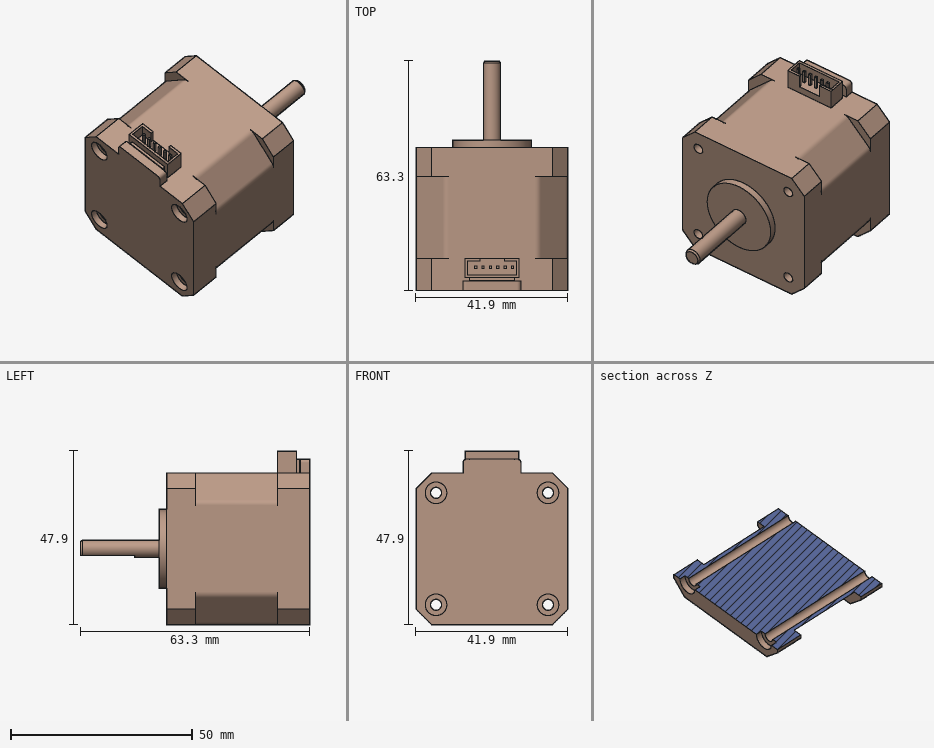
import cadquery as cq


BODY_SIZE = 41.9
BODY_LENGTH = 39.5
BODY_HALF = BODY_SIZE / 2
CORNER_CHAMFER = 4.3

RELIEF_START = 8.9
RELIEF_END = 31.5
RELIEF_CHAMFER = 8.1
RELIEF_RADIUS = 2.1

HOLE_PITCH = 30.9
HOLE_DIAMETER = 3.0
COUNTERBORE_DIAMETER = 5.95
COUNTERBORE_DEPTH = 1.9

OVERALL_LENGTH = 63.3
BOSS_DIAMETER = 21.85
BOSS_HEIGHT = 2.0
SHAFT_DIAMETER = 4.8
SHAFT_TIP_LENGTH = 0.6
SHAFT_TIP_INSET = 0.4
FLAT_LENGTH = 15.0
FLAT_DEPTH = 0.5

TAB_WIDTH = 16.0
TAB_HEIGHT = 3.8
TAB_THICKNESS = 2.65
TAB_RADIUS = 1.0

HEADER_WIDTH = 14.9
HEADER_HEIGHT = 6.0
HEADER_REAR = 3.6
HEADER_FRONT = RELIEF_START
SIDE_WALL = 0.65
LONG_WALL = 0.75
CAVITY_DEPTH = 3.8
NOTCH_WIDTH = 6.8
RIB_WIDTH = 12.55
RIB_HEIGHT = TAB_HEIGHT
RIB_REAR = 2.8

PIN_COUNT = 6
PIN_PITCH = 2.0
PIN_SIZE = 0.65
PIN_HEIGHT = CAVITY_DEPTH
PIN_ROW_OFFSET = 0.6
PIN_ROW_Y = 6.45


def block(x_size, y_start, y_end, z_start, z_end, x_center=0):
    """Box centred on x_center, between the given Y and Z limits."""
    return cq.Workplane("XY").box(
        x_size, y_end - y_start, z_end - z_start, centered=(True, False, False)
    ).translate((x_center, y_start, z_start))


def bar(profile_size, chamfer, y_start, y_end):
    """Square bar along Y with chamfered long edges."""
    half = profile_size / 2
    return block(profile_size, y_start, y_end, -half, half).edges("|Y").chamfer(chamfer)


def cylinder(diameter, y_start, y_end):
    """Cylinder on the motor axis."""
    return (
        cq.Workplane("XZ", origin=(0, y_start, 0))
        .circle(diameter / 2)
        .extrude(y_start - y_end)
    )


def make_body():
    """Motor body: full end sections joined by a middle with deeper, rounded corners."""
    rear = bar(BODY_SIZE, CORNER_CHAMFER, 0, RELIEF_START)
    middle = bar(BODY_SIZE, RELIEF_CHAMFER, RELIEF_START, RELIEF_END)
    middle = middle.edges("|Y").fillet(RELIEF_RADIUS)
    front = bar(BODY_SIZE, CORNER_CHAMFER, RELIEF_END, BODY_LENGTH)
    return rear.union(middle).union(front)


def make_tab():
    """Upright tab on the top face, flush with the rear face."""
    tab = block(TAB_WIDTH, 0, TAB_THICKNESS, 0, BODY_HALF + TAB_HEIGHT)
    return tab.edges("|Y and >Z").fillet(TAB_RADIUS)


def make_shaft():
    """Shaft with a tapered tip and a flat underneath."""
    shaft = cylinder(SHAFT_DIAMETER, BODY_LENGTH, OVERALL_LENGTH)
    shaft = shaft.faces(">Y").chamfer(SHAFT_TIP_LENGTH, SHAFT_TIP_INSET)
    radius = SHAFT_DIAMETER / 2
    flat = block(SHAFT_DIAMETER, OVERALL_LENGTH - FLAT_LENGTH, OVERALL_LENGTH, -radius, FLAT_DEPTH - radius)
    return shaft.cut(flat)


def make_mounting_holes():
    """Tools for the four through holes, counterbored from the rear face."""
    centers = cq.Workplane("XZ").rect(HOLE_PITCH, HOLE_PITCH, forConstruction=True).vertices()
    holes = centers.circle(HOLE_DIAMETER / 2).extrude(-BODY_LENGTH)
    counterbores = centers.circle(COUNTERBORE_DIAMETER / 2).extrude(-COUNTERBORE_DEPTH)
    return holes.union(counterbores)


def make_motor():
    """Body, tab, pilot boss and shaft as one solid."""
    boss = cylinder(BOSS_DIAMETER, BODY_LENGTH, BODY_LENGTH + BOSS_HEIGHT)
    motor = make_body().union(make_tab()).union(boss).union(make_shaft())
    return motor.cut(make_mounting_holes())


def make_header():
    """Open-topped shroud with a notched front wall, a rear rib and one row of pins."""
    base = BODY_HALF
    top = base + HEADER_HEIGHT
    floor = top - CAVITY_DEPTH

    header = block(HEADER_WIDTH, HEADER_REAR, HEADER_FRONT, base, top)
    cavity_front = HEADER_FRONT - LONG_WALL
    cavity = block(HEADER_WIDTH - 2 * SIDE_WALL, HEADER_REAR + LONG_WALL, cavity_front, floor, top)
    notch = block(NOTCH_WIDTH, cavity_front, HEADER_FRONT, floor, top)
    header = header.cut(cavity).cut(notch)

    rib = block(RIB_WIDTH, RIB_REAR, HEADER_REAR, base, base + RIB_HEIGHT)
    header = header.union(rib)

    pin_rear = PIN_ROW_Y - PIN_SIZE / 2
    first_pin_x = PIN_ROW_OFFSET - (PIN_COUNT - 1) * PIN_PITCH / 2
    for index in range(PIN_COUNT):
        pin_x = first_pin_x + index * PIN_PITCH
        pin = block(PIN_SIZE, pin_rear, pin_rear + PIN_SIZE, floor, floor + PIN_HEIGHT, pin_x)
        header = header.union(pin)
    return header


motor = make_motor()
header = make_header()

result = cq.Compound.makeCompound([motor.val(), header.val()])